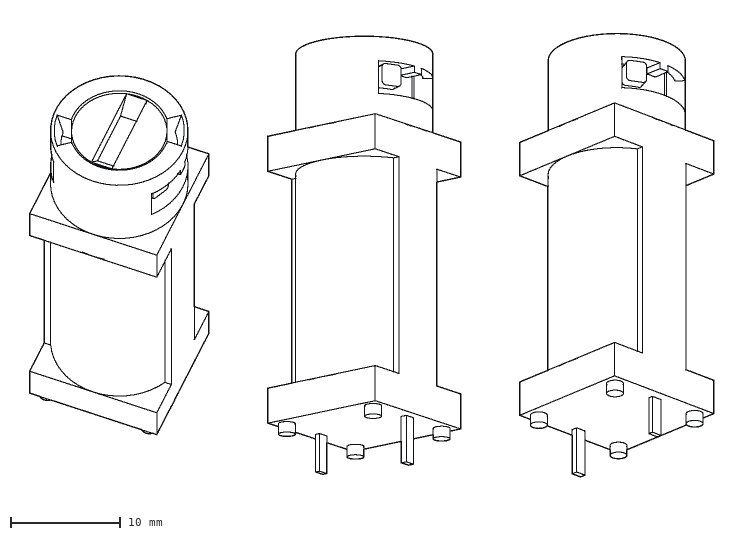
import cadquery as cq
import math

total_height = 39.45
width = 12.5
flange_height = 3.3
housing_height = 35.05
web_width = 5.52

foot_diameter = 1.55
foot_height = 1.0
terminal_offset = 5.0
terminal_width = 1.05
long_terminal_thickness = 0.6
long_terminal_length = total_height - housing_height
short_terminal_thickness = 0.47
short_terminal_length = 3.55

head_radius = width / 2
head_height = 8.0
bore_radius = 4.55
head_base = housing_height - head_height
span_past_head = 2 * width
flange_bottoms = (0, head_base - flange_height)

window_half_angle = 39.5
roof_thickness = 2.3
window_top = housing_height - roof_thickness
window_height = 3.08
stop_width = 1.03
stop_drop = 0.6

channel_top_radius = 5.9
channel_bottom_radius = 5.32

cap_radius = 4.35
cap_recess = 0.1
cap_top = housing_height - cap_recess
slot_width = 2.0
slot_depth = 1.58
slot_floor_length = 5.52
slot_top_length = 2 * math.sqrt(cap_radius**2 - (slot_width / 2) ** 2)
lug_angle = 24.5
lug_reach = 5.5
lug_width = 1.95
lug_height = 2.0
lug_corner_radius = 0.35

half_turns = (0, 180)


def box(size_x, size_y, size_z, bottom, center_x=0):
    """Upright box centred on Y = 0, standing on the given height."""
    return (
        cq.Workplane("XY", origin=(center_x, 0, bottom))
        .rect(size_x, size_y)
        .extrude(size_z)
    )


def cylinder(radius, height, bottom):
    """Upright cylinder on the Z axis."""
    return cq.Workplane("XY", origin=(0, 0, bottom)).circle(radius).extrude(height)


def turn(body, angle):
    """Rotate a body about the Z axis."""
    return body.rotate((0, 0, 0), (0, 0, 1), angle)


def sector(start_angle, end_angle, height, bottom):
    """Triangular wedge between two directions in plan, reaching past the head wall."""
    reach = span_past_head
    corners = [
        (reach * math.cos(math.radians(angle)), reach * math.sin(math.radians(angle)))
        for angle in (start_angle, end_angle)
    ]
    return (
        cq.Workplane("XY", origin=(0, 0, bottom))
        .polyline([(0, 0), *corners])
        .close()
        .extrude(height)
    )


def window():
    """Opening through the +X head wall, with a stop left hanging from its roof."""
    opening = sector(
        -window_half_angle, window_half_angle, window_height, window_top - window_height
    )
    stop = box(span_past_head, stop_width, stop_drop, window_top - stop_drop)
    return opening.cut(stop)


def channel():
    """Tapered entry channel on the +X side, from the stop to the window's +Y end."""
    depth = roof_thickness
    taper = (
        cq.Workplane("XY", origin=(0, 0, window_top))
        .circle(channel_bottom_radius)
        .workplane(offset=depth)
        .circle(channel_top_radius)
        .loft(ruled=True)
    )
    stop_strip = box(span_past_head, stop_width, depth, window_top)
    return taper.intersect(sector(0, window_half_angle, depth, window_top)).cut(stop_strip)


def make_head():
    """Bored head with a window and entry channel on each X side."""
    head = cylinder(head_radius, head_height, head_base)
    head = head.cut(cylinder(bore_radius, head_height, head_base))
    for angle in half_turns:
        head = head.cut(turn(window(), angle))
        head = head.cut(turn(channel(), angle))
    return head


def make_feet():
    """Four round feet near the corners of the lower flange."""
    spacing = 2 * terminal_offset
    return (
        cq.Workplane("XY")
        .rect(spacing, spacing, forConstruction=True)
        .vertices()
        .circle(foot_diameter / 2)
        .extrude(-foot_height)
    )


def make_housing():
    """Block, head, feet and terminals as one solid."""
    housing = cylinder(head_radius, head_base, 0)
    housing = housing.union(box(width, web_width, head_base, 0))
    for bottom in flange_bottoms:
        housing = housing.union(box(width, width, flange_height, bottom))
    housing = housing.union(make_head()).union(make_feet())
    long_terminal = box(
        long_terminal_thickness, terminal_width, long_terminal_length,
        -long_terminal_length, -terminal_offset,
    )
    short_terminal = box(
        short_terminal_thickness, terminal_width, short_terminal_length,
        -short_terminal_length, terminal_offset,
    )
    return housing.union(long_terminal).union(short_terminal)


def coin_slot():
    """Slot along Y whose ends slope up to the cap's rim."""
    return (
        cq.Workplane("YZ", origin=(0, 0, cap_top))
        .polyline([
            (-slot_top_length / 2, 0),
            (slot_top_length / 2, 0),
            (slot_floor_length / 2, -slot_depth),
            (-slot_floor_length / 2, -slot_depth),
        ])
        .close()
        .extrude(slot_width / 2, both=True)
    )


def lug():
    """Radial lug with rounded corners, built along +X from the cap's axis."""
    return (
        cq.Workplane("YZ", origin=(0, 0, window_top - lug_height / 2))
        .rect(lug_width, lug_height)
        .extrude(lug_reach)
        .edges("|X")
        .fillet(lug_corner_radius)
    )


def make_cap():
    """Plug standing on the bore floor, with its lugs under the window roofs."""
    cap = cylinder(cap_radius, head_height - cap_recess, head_base)
    for angle in half_turns:
        cap = cap.union(turn(lug(), angle - lug_angle))
    return cap.cut(coin_slot())


housing = make_housing()
cap = make_cap()

result = cq.Compound.makeCompound([housing.val(), cap.val()])